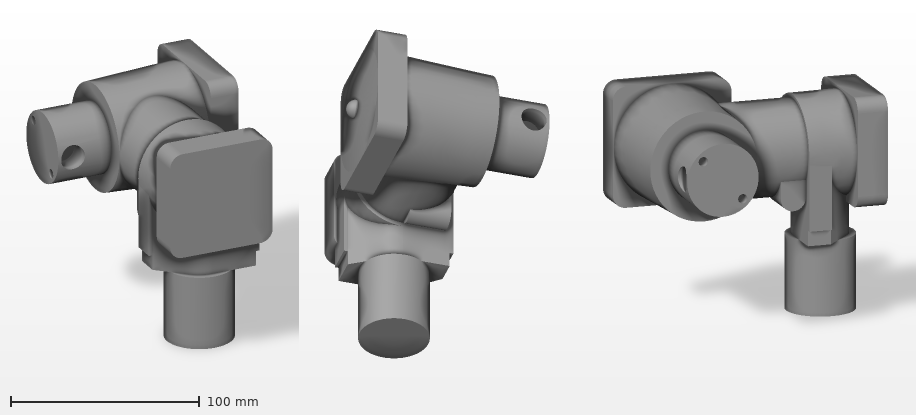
import cadquery as cq
import math


FLANGE_A_SIDE = 66.3
FLANGE_A_DEPTH = 16.3
FLANGE_CORNER_RADIUS = 7.1
BARREL_HALF_LENGTH = 26.0
BARREL_A_FLANGE_RADIUS = 32.6
BARREL_A_END_RADIUS = 30.0
DOME_HEIGHT = 2.3
BUTTON_RADIUS = 5.0
BUTTON_HEIGHT = 4.8
BUTTON_RIM_HEIGHT = 0.8
SPIGOT_LENGTH = 0.4

ARM_RADIUS = BARREL_HALF_LENGTH
ARM_END_X = 58.2

FRONT_STOP_WIDTH = 14.0
FRONT_STOP_FACE_Y = -22.5
FRONT_STOP_BOTTOM_Z = -29.6
REAR_STOP_END_X = 41.1
REAR_STOP_WIDTH = 14.0
REAR_STOP_HEIGHT = 11.9
REAR_STOP_FACE_Y = 32.2

PIN_RADIUS = 20.0
PIN_END_Y = -57.0
CROSS_HOLE_DIAMETER = 13.9
CROSS_HOLE_Y = -48.4
CROSS_HOLE_DEPTH = 13.5
END_HOLE_DIAMETER = 5.1
END_HOLE_OFFSET = 11.0
END_HOLE_DEPTH = 6.7

BARREL_B_LENGTH = 26.5
BARREL_B_START_RADIUS = 28.3
BARREL_B_FLANGE_RADIUS = 28.7
FLANGE_B_SIDE = 60.0
FLANGE_B_DEPTH = 16.8
FOOT_BOTTOM_Z = -48.5
FOOT_HALF_DEPTH = BARREL_HALF_LENGTH
FOOT_CORE_RADIUS = 15.5
FRONT_LEG_WIDTH = 12.8
REAR_LEG_WIDTH = 16.5
CHEEK_HALF_DEPTH = 28.0
CHEEK_BOTTOM_Z = -40.1

POST_RADIUS = 19.0
POST_CENTER_X = 74.0
POST_LENGTH = 41.2

FLANGE_A_FACE_Y = BARREL_HALF_LENGTH + FLANGE_A_DEPTH
DOME_TOP_Y = FLANGE_A_FACE_Y + DOME_HEIGHT
PIN_START_Y = -BARREL_HALF_LENGTH - SPIGOT_LENGTH
FLANGE_B_START_X = ARM_END_X + BARREL_B_LENGTH
FOOT_CENTER_X = ARM_END_X + FOOT_CORE_RADIUS
FOOT_END_X = FOOT_CENTER_X + FOOT_CORE_RADIUS
FRONT_LEG_END_X = ARM_END_X + FRONT_LEG_WIDTH
REAR_LEG_START_X = FOOT_END_X - REAR_LEG_WIDTH


def cylinder(radius, length, start, direction):
    solid = cq.Solid.makeCylinder(radius, length, cq.Vector(*start), cq.Vector(*direction))
    return cq.Workplane(obj=solid)


def cone(start_radius, end_radius, length, start, direction):
    solid = cq.Solid.makeCone(start_radius, end_radius, length, cq.Vector(*start), cq.Vector(*direction))
    return cq.Workplane(obj=solid)


def block(x_range, y_range, z_range):
    (x0, x1), (y0, y1), (z0, z1) = x_range, y_range, z_range
    return cq.Workplane().box(x1 - x0, y1 - y0, z1 - z0, centered=False).translate((x0, y0, z0))


def square_flange(plane, side, depth):
    """Square plate with rounded corners, grown along the plane's normal."""
    plate = cq.Workplane(plane).rect(side, side).extrude(depth)
    corners = cq.selectors.ParallelDirSelector(plane.zDir)
    return plate.edges(corners).fillet(FLANGE_CORNER_RADIUS)


def shallow_dome():
    """Spherical cap that covers the outer face of the first flange."""
    half = FLANGE_A_SIDE / 2
    sphere_radius = (half**2 + DOME_HEIGHT**2) / (2 * DOME_HEIGHT)
    half_angle = math.asin(half / sphere_radius) / 2
    middle = (
        sphere_radius * math.sin(half_angle),
        DOME_TOP_Y - sphere_radius * (1 - math.cos(half_angle)),
    )
    return (
        cq.Workplane("XY")
        .moveTo(0, FLANGE_A_FACE_Y)
        .lineTo(half, FLANGE_A_FACE_Y)
        .threePointArc(middle, (0, DOME_TOP_Y))
        .close()
        .revolve(360, (0, 0, 0), (0, 1, 0))
    )


def button():
    """Round-headed button that rises from the middle of the dome."""
    rim_y = DOME_TOP_Y + BUTTON_RIM_HEIGHT
    top_y = DOME_TOP_Y + BUTTON_HEIGHT
    cap_height = top_y - rim_y
    cap_sphere_radius = (BUTTON_RADIUS**2 + cap_height**2) / (2 * cap_height)
    half_angle = math.atan2(BUTTON_RADIUS, cap_sphere_radius - cap_height) / 2
    middle = (
        cap_sphere_radius * math.sin(half_angle),
        top_y - cap_sphere_radius * (1 - math.cos(half_angle)),
    )
    return (
        cq.Workplane("XY")
        .moveTo(0, FLANGE_A_FACE_Y)
        .lineTo(BUTTON_RADIUS, FLANGE_A_FACE_Y)
        .lineTo(BUTTON_RADIUS, rim_y)
        .threePointArc(middle, (0, top_y))
        .close()
        .revolve(360, (0, 0, 0), (0, 1, 0))
    )


def arm_bar():
    """Full round bar of the arm, starting at the axis of the first housing."""
    return cylinder(ARM_RADIUS, ARM_END_X, (0, 0, 0), (1, 0, 0))


def front_stop():
    """Tab with a round lower end that sticks out of the arm beside the second housing."""
    radius = FRONT_STOP_WIDTH / 2
    left = ARM_END_X - FRONT_STOP_WIDTH
    arc_z = FRONT_STOP_BOTTOM_Z + radius
    return (
        cq.Workplane("XZ")
        .moveTo(left, 0)
        .lineTo(left, arc_z)
        .threePointArc((left + radius, FRONT_STOP_BOTTOM_Z), (ARM_END_X, arc_z))
        .lineTo(ARM_END_X, 0)
        .close()
        .extrude(-FRONT_STOP_FACE_Y)
    )


def rear_stop():
    """Block on the first flange, with its inner side shaped to fit the round arm."""
    stop = block(
        (REAR_STOP_END_X - REAR_STOP_WIDTH, REAR_STOP_END_X),
        (0, REAR_STOP_FACE_Y),
        (-REAR_STOP_HEIGHT / 2, REAR_STOP_HEIGHT / 2),
    )
    return stop.cut(arm_bar())


def make_first_housing():
    flange_plane = cq.Plane((0, BARREL_HALF_LENGTH, 0), xDir=(1, 0, 0), normal=(0, 1, 0))
    barrel = cone(
        BARREL_A_FLANGE_RADIUS,
        BARREL_A_END_RADIUS,
        2 * BARREL_HALF_LENGTH,
        (0, BARREL_HALF_LENGTH, 0),
        (0, -1, 0),
    )
    spigot = cylinder(PIN_RADIUS, SPIGOT_LENGTH, (0, -BARREL_HALF_LENGTH, 0), (0, -1, 0))
    return (
        barrel.union(square_flange(flange_plane, FLANGE_A_SIDE, FLANGE_A_DEPTH))
        .union(shallow_dome())
        .union(button())
        .union(spigot)
        .union(rear_stop())
    )


def make_arm(housing):
    """Arm with its stop; its inner end is shaped to fit the tapered barrel."""
    return arm_bar().union(front_stop()).cut(housing)


def make_pin():
    pin = cylinder(PIN_RADIUS, PIN_START_Y - PIN_END_Y, (0, PIN_START_Y, 0), (0, -1, 0))
    for side in (-1, 1):
        cross_hole = cylinder(
            CROSS_HOLE_DIAMETER / 2, CROSS_HOLE_DEPTH, (side * PIN_RADIUS, CROSS_HOLE_Y, 0), (-side, 0, 0)
        )
        end_hole = cylinder(
            END_HOLE_DIAMETER / 2,
            END_HOLE_DEPTH,
            (side * END_HOLE_OFFSET, PIN_END_Y, -side * END_HOLE_OFFSET),
            (0, 1, 0),
        )
        pin = pin.cut(cross_hole).cut(end_hole)
    return pin


def tangent_point(corner_x, corner_y):
    """Point where the line from a foot corner touches the round core, counterclockwise from the corner."""
    dx = corner_x - FOOT_CENTER_X
    angle = math.atan2(corner_y, dx) + math.acos(FOOT_CORE_RADIUS / math.hypot(dx, corner_y))
    return (
        FOOT_CENTER_X + FOOT_CORE_RADIUS * math.cos(angle),
        FOOT_CORE_RADIUS * math.sin(angle),
    )


def foot_web():
    """S-shaped web: a round core with a front leg on one side and a rear leg on the other."""
    return (
        cq.Workplane("XY")
        .workplane(offset=FOOT_BOTTOM_Z)
        .moveTo(ARM_END_X, 0)
        .lineTo(ARM_END_X, -FOOT_HALF_DEPTH)
        .lineTo(FRONT_LEG_END_X, -FOOT_HALF_DEPTH)
        .lineTo(*tangent_point(FRONT_LEG_END_X, -FOOT_HALF_DEPTH))
        .tangentArcPoint((FOOT_END_X, 0), relative=False)
        .lineTo(FOOT_END_X, FOOT_HALF_DEPTH)
        .lineTo(REAR_LEG_START_X, FOOT_HALF_DEPTH)
        .lineTo(*tangent_point(REAR_LEG_START_X, FOOT_HALF_DEPTH))
        .tangentArcPoint((ARM_END_X, 0), relative=False)
        .close()
        .extrude(-FOOT_BOTTOM_Z)
    )


def make_second_housing():
    flange_plane = cq.Plane((FLANGE_B_START_X, 0, 0), xDir=(0, 1, 0), normal=(1, 0, 0))
    barrel = cone(
        BARREL_B_START_RADIUS, BARREL_B_FLANGE_RADIUS, BARREL_B_LENGTH, (ARM_END_X, 0, 0), (1, 0, 0)
    )
    front_cheek = block((ARM_END_X, FRONT_LEG_END_X), (-CHEEK_HALF_DEPTH, 0), (CHEEK_BOTTOM_Z, 0))
    rear_cheek = block((REAR_LEG_START_X, FOOT_END_X), (0, CHEEK_HALF_DEPTH), (CHEEK_BOTTOM_Z, 0))
    return (
        barrel.union(square_flange(flange_plane, FLANGE_B_SIDE, FLANGE_B_DEPTH))
        .union(foot_web())
        .union(front_cheek)
        .union(rear_cheek)
    )


def make_post():
    return cylinder(POST_RADIUS, POST_LENGTH, (POST_CENTER_X, 0, FOOT_BOTTOM_Z), (0, 0, -1))


first_housing = make_first_housing()
arm = make_arm(first_housing)
pin = make_pin()
second_housing = make_second_housing()
post = make_post()

result = cq.Compound.makeCompound(
    [first_housing.val(), arm.val(), pin.val(), second_housing.val(), post.val()]
)